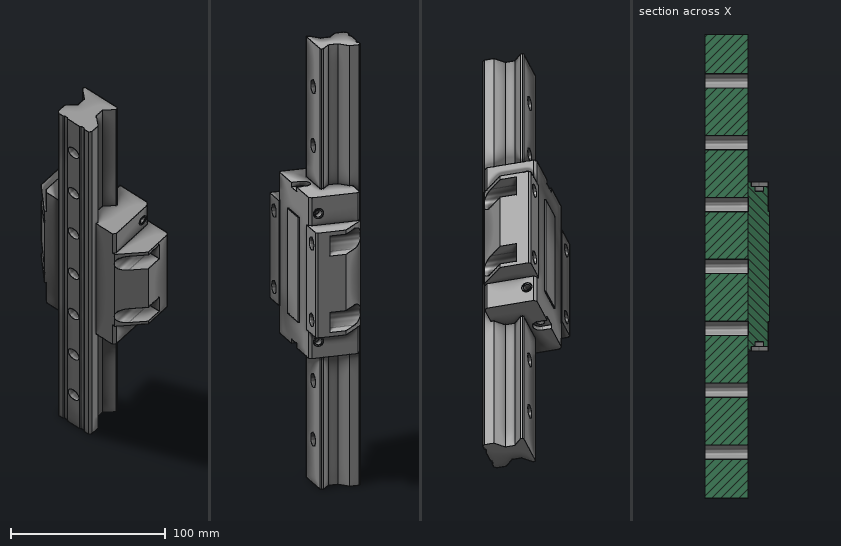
import cadquery as cq


rail_length = 300.0
rail_width = 28.0
rail_height = 28.0
rail_top_chamfer = 0.6
rail_base_chamfer = 1.6
rail_web_half_width = 7.6
upper_flank_top = 26.0
web_top = 20.2
web_bottom = 13.8
lower_flank_bottom = 8.0

base_groove_inner = 5.0
base_groove_outer = 9.0
base_groove_depth = 0.7

rail_hole_diameter = 9.0
rail_hole_pitch = 40.0
rail_hole_count = 7

assembly_height = 42.0
carriage_base = 6.0
carriage_length = 109.5

flange_width = 90.0
flange_length = 71.4
flange_corner = 21.5
flange_top_chamfer = 1.3

cap_half_width = 29.4
cap_top = 41.2
cap_chamfer = 1.8

mount_groove_inner = 10.5
mount_groove_outer = 26.5
mount_groove_depth = assembly_height - cap_top

bolt_spacing_x = 72.0
bolt_spacing_z = 52.0
bolt_hole_diameter = 8.6
bolt_pocket_width = 13.7
bolt_pocket_ceiling = 32.5

end_port_height = 35.2
end_recess_radius = 5.0
end_recess_depth = 3.0
end_port_diameter = 5.4
side_recess_diameter = 6.8
side_recess_depth = 0.3
side_port_diameter = 4.8
side_port_height = 34.8
side_port_z = 43.5
port_depth = 6.0


def mirrored(right_side):
    """Close an outline from its +X half, listed from base to top."""
    left_side = [(-x, y) for x, y in reversed(right_side)]
    return right_side + left_side


def prism(points, length):
    """Extrude an XY outline along Z, centred on Z = 0."""
    return cq.Workplane("XY").polyline(points).close().extrude(length / 2, both=True)


def hole_along_y(x, z, diameter):
    """Cylinder that crosses the full height of the assembly."""
    return (
        cq.Workplane("XZ", origin=(x, assembly_height, z))
        .circle(diameter / 2)
        .extrude(assembly_height)
    )


def rail_blank():
    """Rail section with undercut flanks, without grooves and holes."""
    half = rail_width / 2
    right_side = [
        (half - rail_base_chamfer, 0),
        (half, rail_base_chamfer),
        (half, lower_flank_bottom),
        (rail_web_half_width, web_bottom),
        (rail_web_half_width, web_top),
        (half, upper_flank_top),
        (half, rail_height - rail_top_chamfer),
        (half - rail_top_chamfer, rail_height),
    ]
    return prism(mirrored(right_side), rail_length)


def build_rail():
    rail = rail_blank()
    for side in (-1, 1):
        groove = [
            (side * base_groove_inner, 0),
            (side * (base_groove_inner + base_groove_depth), base_groove_depth),
            (side * (base_groove_outer - base_groove_depth), base_groove_depth),
            (side * base_groove_outer, 0),
        ]
        rail = rail.cut(prism(groove, rail_length))
    for index in range(rail_hole_count):
        z = (index - (rail_hole_count - 1) / 2) * rail_hole_pitch
        rail = rail.cut(hole_along_y(0, z, rail_hole_diameter))
    return rail


def carriage_core():
    """Long narrow block that reaches both ends, with chamfered long edges."""
    right_side = [
        (cap_half_width - cap_chamfer, carriage_base),
        (cap_half_width, carriage_base + cap_chamfer),
        (cap_half_width, cap_top - cap_chamfer),
        (cap_half_width - cap_chamfer, cap_top),
    ]
    return prism(mirrored(right_side), carriage_length)


def flanged_block():
    """Wide middle block with 45 degree undersides and a grooved mounting face."""
    half = flange_width / 2
    groove_floor = assembly_height - mount_groove_depth
    right_side = [
        (half - (flange_corner - carriage_base), carriage_base),
        (half, flange_corner),
        (half, assembly_height - flange_top_chamfer),
        (half - flange_top_chamfer, assembly_height),
        (mount_groove_outer, assembly_height),
        (mount_groove_outer, groove_floor),
        (mount_groove_inner, groove_floor),
        (mount_groove_inner, assembly_height),
    ]
    return prism(mirrored(right_side), flange_length)


def bolt_pocket(side, z):
    """Round-ended head pocket below the flange, open to the outside, with its bolt hole."""
    bolt_x = side * bolt_spacing_x / 2
    round_end = hole_along_y(bolt_x, z, bolt_pocket_width).translate(
        (0, bolt_pocket_ceiling - assembly_height, 0)
    )
    open_length = flange_width / 2
    open_side = cq.Workplane("XY").box(
        open_length, bolt_pocket_ceiling, bolt_pocket_width
    ).translate((bolt_x + side * open_length / 2, bolt_pocket_ceiling / 2, z))
    return round_end.union(open_side).union(hole_along_y(bolt_x, z, bolt_hole_diameter))


def end_port(end):
    """U-shaped recess open to the top of one end face, with a lubrication port in it."""
    face_z = end * carriage_length / 2
    plane = cq.Workplane("XY", origin=(0, end_port_height, face_z))
    slot = plane.circle(end_recess_radius).extrude(-end * end_recess_depth)
    rise = assembly_height - end_port_height
    slot = slot.union(
        plane.center(0, rise / 2)
        .rect(2 * end_recess_radius, rise)
        .extrude(-end * end_recess_depth)
    )
    return slot.union(plane.circle(end_port_diameter / 2).extrude(-end * port_depth))


def side_port(side, end):
    """Counterbored lubrication port in the side of an end portion."""
    plane = cq.Workplane(
        "YZ", origin=(side * cap_half_width, side_port_height, end * side_port_z)
    )
    recess = plane.circle(side_recess_diameter / 2).extrude(-side * side_recess_depth)
    return recess.union(plane.circle(side_port_diameter / 2).extrude(-side * port_depth))


def build_carriage():
    carriage = carriage_core().union(flanged_block())
    for side in (-1, 1):
        for end in (-1, 1):
            carriage = carriage.cut(bolt_pocket(side, end * bolt_spacing_z / 2))
            carriage = carriage.cut(side_port(side, end))
    for end in (-1, 1):
        carriage = carriage.cut(end_port(end))
    return carriage.cut(rail_blank())


rail = build_rail()
carriage = build_carriage()

result = cq.Compound.makeCompound([rail.val(), carriage.val()])